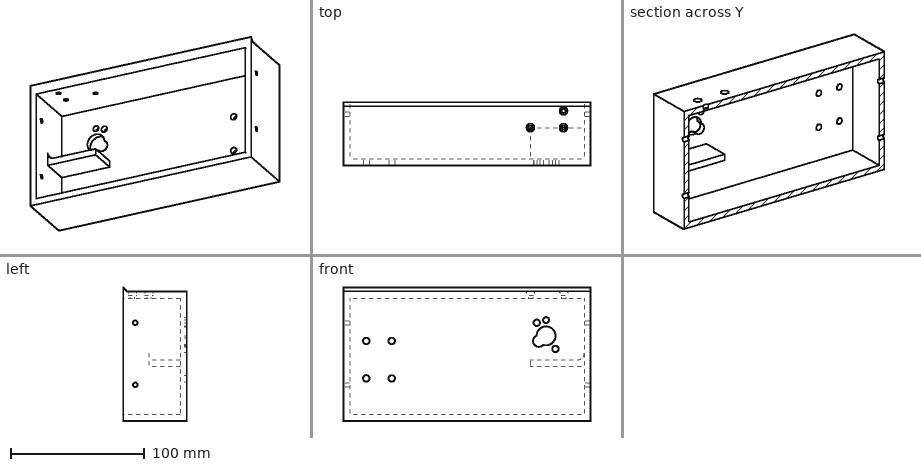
import cadquery as cq
import math

length = 185.04
depth = 47.57
height = 100.0
lip_size = 3.0
wall = 5.0
body_height = height - lip_size

shelf_left = 140.0
shelf_back = 28.4
shelf_top = 46.0
shelf_thickness = wall
shelf_fillet = 5.0

pattern_diameter = 4.7
pattern_left = 17.2
pattern_bottom = 32.0
pattern_width = 19.0
pattern_height = 28.0

opening_x = 151.65
opening_z = 63.8
opening_diameter = 14.0
slot_width = 8.5
slot_end_x = opening_x - 5.4
slot_end_z = opening_z - 3.9
pair_diameter = 4.7
pair_offset_x = 7.0
pair_offset_z = 9.8
upper_diameter = 4.3
upper_offset_z = 11.8

end_diameter = 3.2
end_from_back = 9.0
end_heights = [27.2, 73.6]

top_diameter = 3.2
counterbore_diameter = 6.0
counterbore_depth = 3.0
top_right = 164.7
top_back = 40.9
top_places = [(shelf_left, shelf_back), (top_right, shelf_back), (top_right, top_back)]


def block(x_range, y_range, z_range):
    """Box between the given pairs of limits."""
    sizes = [high - low for low, high in (x_range, y_range, z_range)]
    corner = (x_range[0], y_range[0], z_range[0])
    return cq.Workplane("XY").box(*sizes, centered=False).translate(corner)


def front_wall_cylinder(place, diameter):
    """Cutter through the front wall at an (x, z) place."""
    return cq.Workplane("XZ").center(*place).circle(diameter / 2).extrude(-wall)


def make_shell():
    body = block((0, length), (0, depth), (0, body_height))
    cavity = block((wall, length - wall), (wall, depth), (wall, body_height - wall))
    return body.cut(cavity)


def make_lip():
    """Triangular ridge whose upright side is flush with the open back."""
    return (
        cq.Workplane("YZ")
        .moveTo(depth - lip_size, body_height)
        .lineTo(depth, height)
        .lineTo(depth, body_height)
        .close()
        .extrude(length)
    )


def make_shelf():
    """Shelf on the front wall, rounded up into the right end wall."""
    end_wall = length - wall
    return (
        cq.Workplane("XZ", origin=(0, wall, 0))
        .moveTo(shelf_left, shelf_top)
        .lineTo(end_wall - shelf_fillet, shelf_top)
        .radiusArc((end_wall, shelf_top + shelf_fillet), -shelf_fillet)
        .lineTo(end_wall, shelf_top - shelf_thickness)
        .lineTo(shelf_left, shelf_top - shelf_thickness)
        .close()
        .extrude(wall - shelf_back)
    )


def make_pattern_holes():
    cutters = cq.Workplane("XZ")
    for x in (pattern_left, pattern_left + pattern_width):
        for z in (pattern_bottom, pattern_bottom + pattern_height):
            cutters = cutters.union(front_wall_cylinder((x, z), pattern_diameter))
    return cutters


def make_keyhole():
    """Round opening joined to a round-ended slot that points down and to the left."""
    reach = math.hypot(opening_x - slot_end_x, opening_z - slot_end_z)
    angle = math.degrees(math.atan2(opening_z - slot_end_z, opening_x - slot_end_x))
    slot = (
        cq.Workplane("XZ")
        .center((opening_x + slot_end_x) / 2, (opening_z + slot_end_z) / 2)
        .slot2D(reach + slot_width, slot_width, angle)
        .extrude(-wall)
    )
    return front_wall_cylinder((opening_x, opening_z), opening_diameter).union(slot)


def make_keyhole_neighbours():
    """Two opposite holes across the opening and a smaller one straight above it."""
    upper_left = (opening_x - pair_offset_x, opening_z + pair_offset_z)
    lower_right = (opening_x + pair_offset_x, opening_z - pair_offset_z)
    above = (opening_x, opening_z + upper_offset_z)
    return (
        front_wall_cylinder(upper_left, pair_diameter)
        .union(front_wall_cylinder(lower_right, pair_diameter))
        .union(front_wall_cylinder(above, upper_diameter))
    )


def make_end_holes():
    """Cylinders along the whole length, crossing both end walls."""
    places = [(depth - end_from_back, z) for z in end_heights]
    return cq.Workplane("YZ").pushPoints(places).circle(end_diameter / 2).extrude(length)


def make_top_holes():
    top = cq.Workplane("XY", origin=(0, 0, body_height)).pushPoints(top_places)
    holes = top.circle(top_diameter / 2).extrude(-wall)
    counterbores = top.circle(counterbore_diameter / 2).extrude(-counterbore_depth)
    return holes.union(counterbores)


result = (
    make_shell()
    .union(make_lip())
    .union(make_shelf())
    .cut(make_pattern_holes())
    .cut(make_keyhole())
    .cut(make_keyhole_neighbours())
    .cut(make_end_holes())
    .cut(make_top_holes())
)